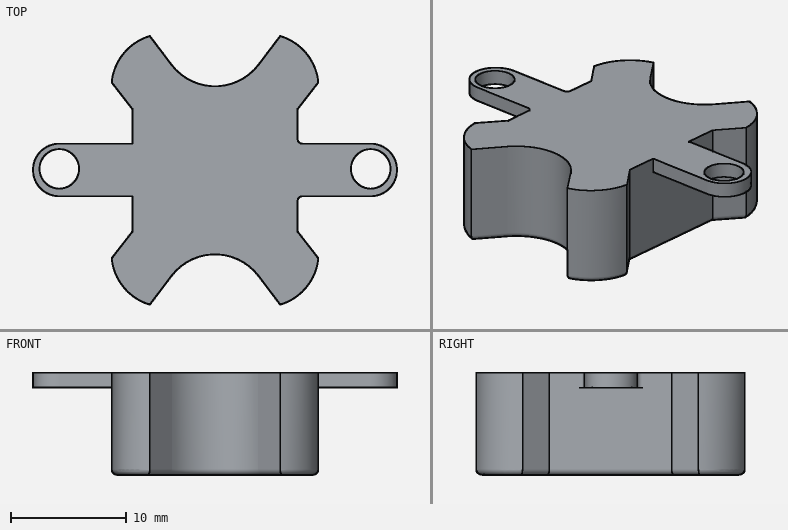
import cadquery as cq
import math

length = 31.62
body_width = 23.35
height = 8.9

waist_x = 7.18
waist_y = 5.3
arm_angle = 52.2
shoulder_x = 8.98
arm_tip_x = 5.65
arm_tip_y = body_width / 2
arm_end_radius = 4.68
scallop_depth_y = 7.3
scallop_radius = 4.75
bottom_fillet = 0.5

tab_width = 4.6
tab_thickness = 1.3
tab_center_y = 0.03
hole_diameter = 3.4
hole_center_y = 0.13
root_fillet = 0.4

flank = math.radians(arm_angle)
shoulder_y = waist_y + (shoulder_x - waist_x) * math.tan(flank)
scallop_end_x = scallop_radius * math.sin(flank)
scallop_end_y = scallop_depth_y + scallop_radius * (1 - math.cos(flank))
tab_spacing = length - tab_width


def arm_end_middle():
    """Middle point of the arm-end arc in the +X +Y quarter."""
    chord_x = shoulder_x - arm_tip_x
    chord_y = shoulder_y - arm_tip_y
    chord = math.hypot(chord_x, chord_y)
    bulge = arm_end_radius - math.sqrt(arm_end_radius**2 - (chord / 2) ** 2)
    x = (shoulder_x + arm_tip_x) / 2 - bulge * chord_y / chord
    y = (shoulder_y + arm_tip_y) / 2 + bulge * chord_x / chord
    return x, y


def make_body():
    """Four-armed block with scalloped +Y and -Y sides and a rounded bottom edge."""
    end_x, end_y = arm_end_middle()
    outline = cq.Workplane("XY").moveTo(waist_x, -waist_y)
    for side in (1, -1):
        outline = (
            outline.lineTo(side * waist_x, side * waist_y)
            .lineTo(side * shoulder_x, side * shoulder_y)
            .threePointArc((side * end_x, side * end_y), (side * arm_tip_x, side * arm_tip_y))
            .lineTo(side * scallop_end_x, side * scallop_end_y)
            .threePointArc((0, side * scallop_depth_y), (-side * scallop_end_x, side * scallop_end_y))
            .lineTo(-side * arm_tip_x, side * arm_tip_y)
            .threePointArc((-side * end_x, side * end_y), (-side * shoulder_x, side * shoulder_y))
            .lineTo(-side * waist_x, side * waist_y)
        )
    return outline.close().extrude(height).faces("<Z").edges().fillet(bottom_fillet)


def make_tabs():
    """One round-ended strip that forms both tabs."""
    return (
        cq.Workplane("XY", origin=(0, tab_center_y, height - tab_thickness))
        .slot2D(length, tab_width)
        .extrude(tab_thickness)
    )


def fillet_tab_root(part, side):
    """Round the inner corner between the +X tab and the side wall."""
    corner = (waist_x, tab_center_y + side * tab_width / 2, height - tab_thickness / 2)
    return part.edges(cq.selectors.NearestToPointSelector(corner)).fillet(root_fillet)


def make_holes():
    """Cutters for the hole in each tab."""
    return (
        cq.Workplane("XY", origin=(0, hole_center_y, height - tab_thickness))
        .pushPoints([(-tab_spacing / 2, 0), (tab_spacing / 2, 0)])
        .circle(hole_diameter / 2)
        .extrude(tab_thickness)
    )


part = make_body().union(make_tabs())
part = fillet_tab_root(part, 1)
part = fillet_tab_root(part, -1)
result = part.cut(make_holes())